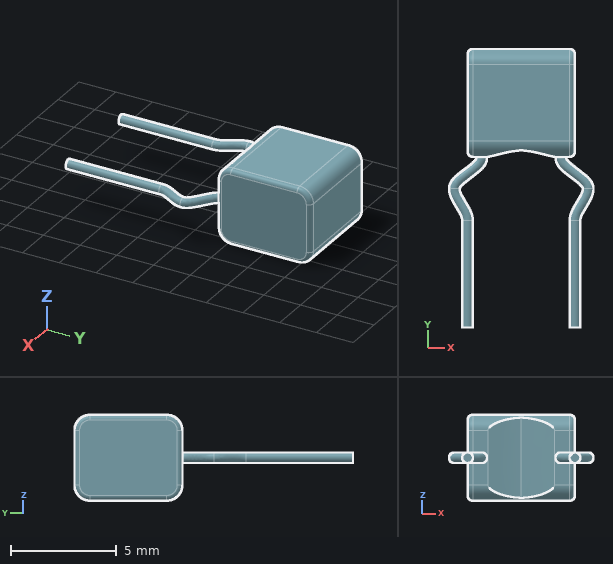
import cadquery as cq

OVERALL_LENGTH = 13.21

HOUSING_WIDTH = 5.09
HOUSING_HEIGHT = 4.08
HOUSING_DEPTH = 5.13
LONG_EDGE_RADIUS = 0.75
END_EDGE_RADIUS = 0.25

RELIEF_HALF_WIDTH = 1.57
RELIEF_DEPTH = 0.32
RELIEF_EDGE_SLOPE = 0.21
RELIEF_CENTER_SLOPE = 0.065

LEAD_DIAMETER = 0.52
LEAD_ROOT_X = 1.88
LEAD_KNEE_X = 3.17
LEAD_PIN_X = HOUSING_WIDTH / 2
STUB_END_Y = -0.05
KNEE_Y = -1.49
PIN_START_Y = -3.01
BEND_HANDLE_SHARE = 1 / 3
PIN_TIP_Y = HOUSING_DEPTH - OVERALL_LENGTH


def make_relief():
    """Two mirrored curves that meet in a faint ridge line at X = 0."""
    left_edge = (-RELIEF_HALF_WIDTH, 0)
    center = (0, RELIEF_DEPTH)
    right_edge = (RELIEF_HALF_WIDTH, 0)
    return (
        cq.Workplane("XY", origin=(0, 0, -HOUSING_HEIGHT / 2))
        .moveTo(*left_edge)
        .spline([center], tangents=[(1, RELIEF_EDGE_SLOPE), (1, RELIEF_CENTER_SLOPE)], includeCurrent=True)
        .spline([right_edge], tangents=[(1, -RELIEF_CENTER_SLOPE), (1, -RELIEF_EDGE_SLOPE)], includeCurrent=True)
        .close()
        .extrude(HOUSING_HEIGHT)
    )


def make_housing():
    block = (
        cq.Workplane("XY")
        .box(HOUSING_WIDTH, HOUSING_DEPTH, HOUSING_HEIGHT)
        .translate((0, HOUSING_DEPTH / 2, 0))
    )
    rounded = block.edges("|X").fillet(LONG_EDGE_RADIUS).faces("<X or >X").edges().fillet(END_EDGE_RADIUS)
    return rounded.cut(make_relief())


def add_bend(path, start, end):
    """Extend the path by an S-shaped curve that leaves start and reaches end parallel to Y."""
    handle = (end[1] - start[1]) * BEND_HANDLE_SHARE
    start_handle = (start[0], start[1] + handle)
    end_handle = (end[0], end[1] - handle)
    return path.bezier([start_handle, end_handle, end], includeCurrent=True)


def make_lead(side):
    """Round wire that starts on the housing face; side is -1 for the -X lead, +1 for the +X lead."""
    root = (side * LEAD_ROOT_X, 0)
    stub_end = (side * LEAD_ROOT_X, STUB_END_Y)
    knee = (side * LEAD_KNEE_X, KNEE_Y)
    pin_start = (side * LEAD_PIN_X, PIN_START_Y)
    pin_tip = (side * LEAD_PIN_X, PIN_TIP_Y)

    path = cq.Workplane("XY").moveTo(*root).lineTo(*stub_end)
    path = add_bend(path, stub_end, knee)
    path = add_bend(path, knee, pin_start)
    path = path.lineTo(*pin_tip)
    return cq.Workplane("XZ", origin=(*root, 0)).circle(LEAD_DIAMETER / 2).sweep(path)


housing = make_housing()
leads = [make_lead(side) for side in (-1, 1)]

result = cq.Compound.makeCompound([housing.val(), *[lead.val() for lead in leads]])